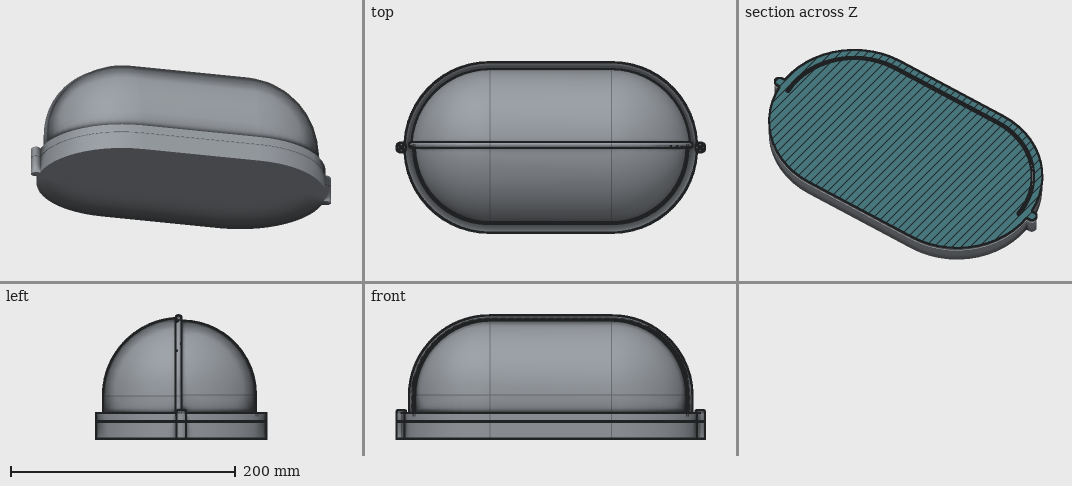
import cadquery as cq

total_length = 275.0
base_width = 152.0
base_height = 23.0
centre_distance = 108.5
total_height = 110.0

seam_width = 1.0
seam_depth = 0.5
seam_middle = 15.5

lug_radius = 4.5
screw_radius = 4.5
screw_height = 2.5
screw_rounding = 2.2
slot_width = 0.5
slot_depth = 0.5

rear_radius = 69.8
rear_spring = 38.0
front_radius = 66.5
front_spring = 38.8
opening_radius = 68.2

rib_back = 5.0
rib_front = -0.3

half_distance = centre_distance / 2
base_radius = base_width / 2
lug_centre = total_length / 2 - lug_radius
seam_bottom = seam_middle - seam_width / 2
rib_thickness = rib_back - rib_front
rib_middle = (rib_back + rib_front) / 2
rib_nose_radius = rib_thickness / 2
rib_outer_radius = total_height - rear_spring
rib_nose_centre = rib_outer_radius - rib_nose_radius


def stadium(radius, bottom, height):
    """Upright prism with two straight sides and two round ends."""
    outline = cq.Workplane("XY", origin=(0, 0, bottom)).slot2D(centre_distance + 2 * radius, 2 * radius)
    return outline.extrude(height)


def plan_body(offset, bottom, height):
    """Base and lug outline, drawn inwards by the offset."""
    body = stadium(base_radius - offset, bottom, height)
    lugs = cq.Workplane("XY", origin=(0, 0, bottom)).slot2D(
        2 * (lug_centre + lug_radius - offset), 2 * (lug_radius - offset)
    )
    return body.union(lugs.extrude(height))


def dome(radius, spring):
    """Stadium wall closed by a half cylinder with a quarter sphere at each end."""
    body = stadium(radius, 0, spring)
    barrel = cq.Workplane("YZ", origin=(-half_distance, 0, spring)).circle(radius).extrude(centre_distance)
    body = body.union(barrel)
    for x in (-half_distance, half_distance):
        body = body.union(cq.Workplane("XY", origin=(x, 0, spring)).sphere(radius))
    return body


def side_space(front_limit, back_limit):
    """Block between two Y positions, as long and as high as the part."""
    depth = back_limit - front_limit
    block = cq.Workplane("XY").box(total_length, depth, total_height, centered=(True, False, False))
    return block.translate((0, front_limit, 0))


def arch(radius):
    """Long arch in the rib's middle plane, from the ground over the top and down again."""
    reach = half_distance + radius
    crown = rear_spring + radius
    return (
        cq.Workplane("XZ", origin=(0, rib_middle, 0))
        .moveTo(-reach, 0)
        .lineTo(-reach, rear_spring)
        .radiusArc((-half_distance, crown), radius)
        .lineTo(half_distance, crown)
        .radiusArc((reach, rear_spring), radius)
        .lineTo(reach, 0)
    )


def make_base():
    """Solid base with screw lugs and a shallow seam groove all around."""
    base = plan_body(0, 0, base_height)
    groove = plan_body(0, seam_bottom, seam_width).cut(plan_body(seam_depth, seam_bottom, seam_width))
    return base.cut(groove)


def make_rear_cover():
    return dome(rear_radius, rear_spring).intersect(side_space(rib_middle, base_radius))


def make_front_cover():
    return dome(front_radius, front_spring).intersect(side_space(-base_radius, rib_back))


def make_rib():
    """Flat arch between the two cover halves with a full-round outer edge."""
    web = arch(rib_nose_centre).close().extrude(rib_nose_radius, both=True)
    start = (-half_distance - rib_nose_centre, rib_middle, 0)
    nose = cq.Workplane("XY", origin=start).circle(rib_nose_radius).sweep(arch(rib_nose_centre))
    return web.union(nose)


def make_screw(x):
    """Rounded screw head with a diagonal cross slot, standing on a lug."""
    head = cq.Workplane("XY").circle(screw_radius).extrude(screw_height)
    head = head.faces(">Z").edges().fillet(screw_rounding)
    slot_floor = cq.Workplane("XY", origin=(0, 0, screw_height - slot_depth))
    slot = slot_floor.rect(2 * screw_radius, slot_width).extrude(slot_depth)
    for angle in (45, 135):
        head = head.cut(slot.rotate((0, 0, 0), (0, 0, 1), angle))
    return head.translate((x, 0, base_height))


def make_front_opening():
    """Space for the front half, from the seam up and under the rib to its rear side."""
    opening = dome(opening_radius, rear_spring).intersect(side_space(-base_radius, rib_back))
    below_seam = plan_body(0, 0, seam_middle)
    return opening.cut(below_seam)


result = make_base().union(make_rear_cover()).union(make_rib())
result = result.cut(make_front_opening()).union(make_front_cover())
for screw_x in (-lug_centre, lug_centre):
    result = result.union(make_screw(screw_x))